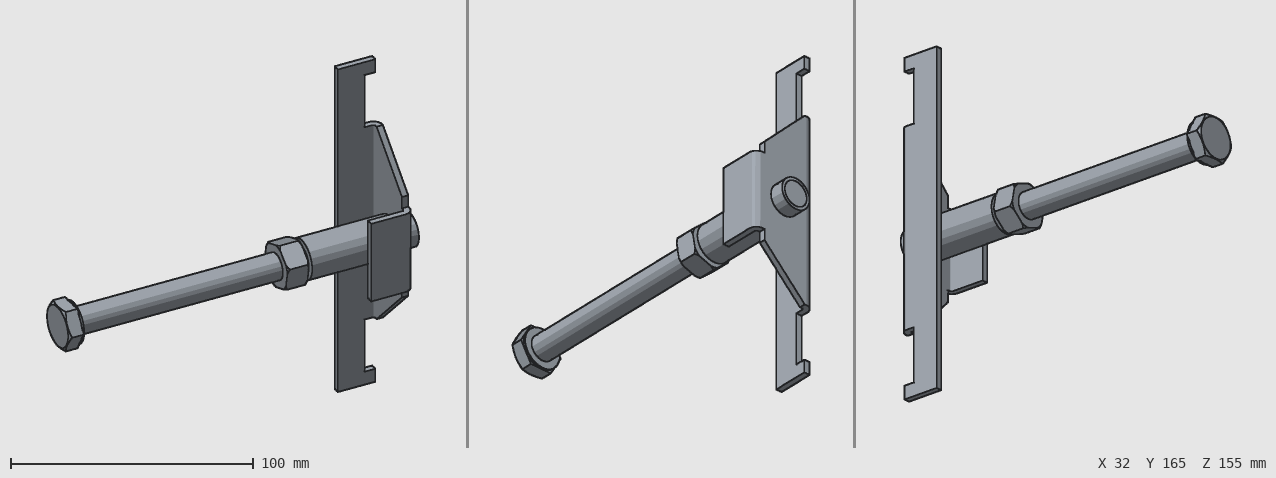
import cadquery as cq
import math


bracket_width = 32.0
bracket_depth = 20.0
sheet = 3.0
bend_inner_radius = 1.0
bend_outer_radius = bend_inner_radius + sheet

rail_height = 155.0
rail_neck_depth = 12.5
rail_end_depth = 17.5
rail_end_height = 6.3
web_height = 92.4
web_edge_inset = 5.0
tab_height = 37.3

sleeve_diameter = 18.3
spigot_diameter = 15.0
spigot_projection = 7.0
sleeve_front = -43.9

bolt_diameter = 12.0
hex_across_flats = 19.0
hex_across_corners = hex_across_flats / math.cos(math.radians(30))
overall_length = 165.0
head_height = 7.5
washer_face_height = 1.0
head_face_diameter = 18.5
head_chamfer_slope = math.radians(30)
nut_gap = 2.0
nut_height = 10.0
nut_turn = 19.0
nut_face_diameter = 20.1
nut_chamfer_slope = math.radians(45)

bolt_tip = spigot_projection
bolt_end = bolt_tip - overall_length
head_rear = bolt_end + head_height
nut_rear = sleeve_front - nut_gap
nut_front = nut_rear - nut_height


def cylinder(diameter, front, rear):
    """Cylinder on the Y axis between two Y positions."""
    return cq.Workplane("XZ", origin=(0, rear, 0)).circle(diameter / 2).extrude(rear - front)


def hexagon(front, rear, turn=0):
    """Hexagonal prism on the Y axis, with a corner on +X before it is turned."""
    prism = cq.Workplane("XZ", origin=(0, rear, 0)).polygon(6, hex_across_corners).extrude(rear - front)
    return prism.rotate((0, 0, 0), (0, 1, 0), -turn)


def chamfer_envelope(front, rear, face_diameter, slope, both_ends):
    """Turned blank that bevels the corners of a hexagon cut from it."""
    face_radius = face_diameter / 2
    corner_radius = hex_across_corners / 2
    bevel = (corner_radius - face_radius) * math.tan(slope)
    profile = cq.Workplane("XY").moveTo(0, front).lineTo(face_radius, front)
    profile = profile.lineTo(corner_radius, front + bevel)
    if both_ends:
        profile = profile.lineTo(corner_radius, rear - bevel).lineTo(face_radius, rear)
    else:
        profile = profile.lineTo(corner_radius, rear)
    return profile.lineTo(0, rear).close().revolve(360, (0, 0, 0), (0, 1, 0))


def bent_channel():
    """Full-height channel with rounded bends, open toward -Y."""
    outer = (
        cq.Workplane("XY")
        .rect(bracket_width, 2 * bracket_depth)
        .extrude(rail_height / 2, both=True)
        .edges("|Z").fillet(bend_outer_radius)
    )
    inner = (
        cq.Workplane("XY")
        .rect(bracket_width - 2 * sheet, 2 * (bracket_depth - sheet))
        .extrude(rail_height / 2, both=True)
        .edges("|Z").fillet(bend_inner_radius)
    )
    rear_half = cq.Workplane("XY").box(
        bracket_width, bracket_depth, rail_height, centered=(True, False, True)
    )
    return outer.cut(inner).intersect(rear_half).translate((0, -bracket_depth, 0))


def web_outline():
    """Sheet outline seen along Y, from the rail flange across to the tab."""
    side = bracket_width / 2
    slope_start = side - web_edge_inset
    slope_drop = 2 * slope_start
    upper = [
        (-side, rail_height / 2),
        (-side + sheet, rail_height / 2),
        (-side + sheet, web_height / 2),
        (-slope_start, web_height / 2),
        (slope_start, web_height / 2 - slope_drop),
        (slope_start, tab_height / 2),
        (side, tab_height / 2),
    ]
    lower = [(x, -z) for x, z in reversed(upper)]
    return cq.Workplane("XZ").polyline(upper + lower).close().extrude(bracket_depth)


def rail_block(front, rear, z_low, z_high):
    """Block as thick as the rail flange, between two Y and two Z positions."""
    return cq.Workplane("XY").box(sheet, rear - front, z_high - z_low, centered=False).translate(
        (-bracket_width / 2, front, z_low)
    )


def make_bracket():
    bracket = bent_channel().intersect(web_outline())
    bracket = bracket.cut(cylinder(spigot_diameter, -sheet, 0))

    neck_rear = rail_neck_depth - bracket_depth
    arm_rear = rail_end_depth - bracket_depth
    rail_top = rail_height / 2
    web_top = web_height / 2
    arm_bottom = rail_top - rail_end_height
    notch = rail_block(neck_rear, 0, web_top, rail_top)
    arm = rail_block(neck_rear, arm_rear, arm_bottom, rail_top)
    for cutter in (notch, notch.mirror("XY")):
        bracket = bracket.cut(cutter)
    for end_arm in (arm, arm.mirror("XY")):
        bracket = bracket.union(end_arm)
    return bracket


def make_sleeve():
    barrel = cylinder(sleeve_diameter, sleeve_front, -sheet)
    spigot = cylinder(spigot_diameter, -sheet, spigot_projection)
    bore = cylinder(bolt_diameter, sleeve_front, spigot_projection)
    return barrel.union(spigot).cut(bore)


def make_nut():
    envelope = chamfer_envelope(nut_front, nut_rear, nut_face_diameter, nut_chamfer_slope, True)
    blank = hexagon(nut_front, nut_rear, nut_turn).intersect(envelope)
    return blank.cut(cylinder(bolt_diameter, nut_front, nut_rear))


def make_bolt():
    hex_rear = head_rear - washer_face_height
    envelope = chamfer_envelope(bolt_end, hex_rear, head_face_diameter, head_chamfer_slope, False)
    head = hexagon(bolt_end, hex_rear).intersect(envelope)
    washer_face = cylinder(hex_across_flats, hex_rear, head_rear)
    shank = cylinder(bolt_diameter, head_rear, bolt_tip)
    return head.union(washer_face).union(shank)


bracket = make_bracket()
sleeve = make_sleeve()
nut = make_nut()
bolt = make_bolt()

result = cq.Compound.makeCompound([bracket.val(), sleeve.val(), nut.val(), bolt.val()])